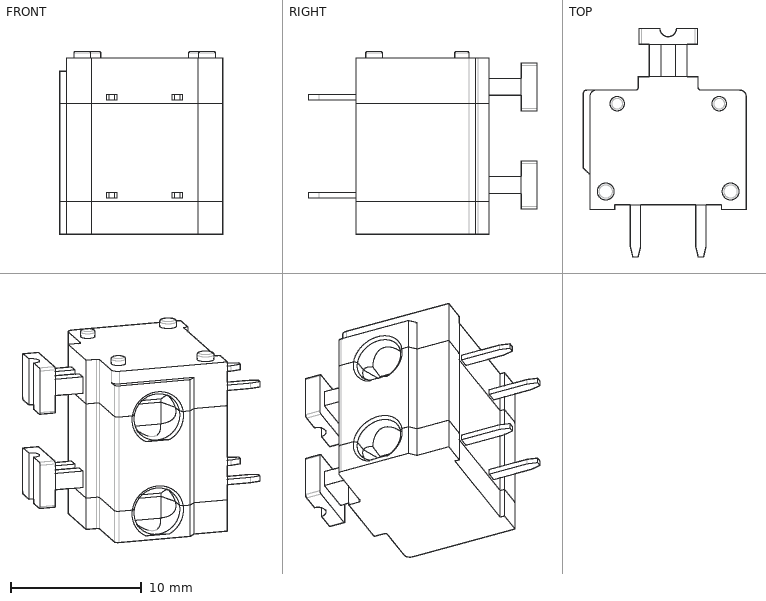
import cadquery as cq


TOTAL_LENGTH = 17.5

TOTAL_HEIGHT = 14.0
PEG_HEIGHT = 0.5
BASE_TOP = 2.5
POLE_PITCH = 7.5
HOUSING_TOP = TOTAL_HEIGHT - PEG_HEIGHT
COVER_BOTTOM = BASE_TOP + POLE_PITCH

HOUSING_WIDTH = 11.97
HOUSING_DEPTH = 9.15
SIDE_X = HOUSING_WIDTH / 2
FOOT_WIDTH = 1.9
FOOT_HEIGHT = 0.37
CORNER_RADIUS = 0.5
TOWER_WIDTH = 4.6
TOWER_TOP = 10.18
TOWER_ROOT_RADIUS = 0.2

PANEL_THICKNESS = 0.52
PANEL_TOP = 12.5
PANEL_START = 2.68
PANEL_SLOPE_END = 3.17
PANEL_CORNER_RADIUS = 0.28
PANEL_X = -SIDE_X - PANEL_THICKNESS

BORE_DIAMETER = 3.68
RIM_DIAMETER = 4.13
RIM_DEPTH = 0.21
BORE_Y = 5.75
BORE_FLOOR = 0.35
BORE_Z = BORE_FLOOR + BORE_DIAMETER / 2
FUNNEL_START_DEPTH = 1.2
FUNNEL_END_DEPTH = 2.95
FUNNEL_END_WIDTH = 2.38
FUNNEL_END_BOTTOM = 0.77
FUNNEL_END_TOP = 2.76

PIN_SPACING = 5.0
PIN_WIDTH = 0.8
PIN_TIP_WIDTH = 0.42
PIN_THICKNESS = 0.44
PIN_LENGTH = 3.64
PIN_TAPER = 0.8
PIN_RISE = 0.26

STEM_WIDTH = 2.9
STEM_HEIGHT = 1.31
STEM_RISE = 0.61
GROOVE_WIDTH = 1.12
GROOVE_DEPTH = 0.32
HEAD_WIDTH = 4.5
HEAD_HEIGHT = 3.7
HEAD_LENGTH = 1.22
HEAD_END = TOTAL_LENGTH - PIN_LENGTH
HEAD_START = HEAD_END - HEAD_LENGTH
HEAD_RADIUS = 0.2
NOTCH_DIAMETER = 1.25

FRONT_PEG = (1.3, 4.78, 1.38)
REAR_PEG = (1.1, 3.9, 8.1)
PEG_FILLET = 0.14


def centred_block(width, y_start, y_end, z_start, height):
    """Block centred on X = 0."""
    plane = cq.Workplane("XY", origin=(0, y_start, z_start))
    return plane.box(width, y_end - y_start, height, centered=(True, False, False))


def housing_layer(z_start, z_end):
    """Slice of the housing outline: rounded block, tower at the back, feet at the front."""
    height = z_end - z_start
    layer = centred_block(HOUSING_WIDTH, 0, HOUSING_DEPTH, z_start, height)
    layer = layer.edges("|Z and >Y").fillet(CORNER_RADIUS)
    layer = layer.union(centred_block(TOWER_WIDTH, HOUSING_DEPTH / 2, TOWER_TOP, z_start, height))
    for side in (-1, 1):
        root = (side * TOWER_WIDTH / 2, HOUSING_DEPTH, z_start + height / 2)
        layer = layer.edges(cq.selectors.NearestToPointSelector(root)).fillet(TOWER_ROOT_RADIUS)
    return layer.cut(centred_block(HOUSING_WIDTH - 2 * FOOT_WIDTH, 0, FOOT_HEIGHT, z_start, height))


def panel(z_start, z_end):
    """Slice of the raised panel, sloped at its front end and rounded at its back corner."""
    inner_x = -SIDE_X + CORNER_RADIUS
    return (
        cq.Workplane("XY", origin=(0, 0, z_start))
        .moveTo(inner_x, PANEL_START)
        .lineTo(-SIDE_X, PANEL_START)
        .lineTo(PANEL_X, PANEL_SLOPE_END)
        .lineTo(PANEL_X, HOUSING_DEPTH - PANEL_CORNER_RADIUS)
        .radiusArc((PANEL_X + PANEL_CORNER_RADIUS, HOUSING_DEPTH), PANEL_CORNER_RADIUS)
        .lineTo(inner_x, HOUSING_DEPTH)
        .close()
        .extrude(z_end - z_start)
    )


def wire_entry(lift):
    """Cutter for one wire entry: chamfered bore that narrows to a rectangle, with a flat floor."""
    bore_plane = cq.Workplane("YZ", origin=(PANEL_X, BORE_Y, BORE_Z))
    bore = bore_plane.circle(BORE_DIAMETER / 2).extrude(FUNNEL_END_DEPTH)

    mouth = bore_plane.rect(BORE_DIAMETER, BORE_DIAMETER).extrude(FUNNEL_START_DEPTH)
    end_height = FUNNEL_END_TOP - FUNNEL_END_BOTTOM
    end_centre = (FUNNEL_END_TOP + FUNNEL_END_BOTTOM) / 2 - BORE_Z
    funnel = (
        bore_plane.workplane(offset=FUNNEL_START_DEPTH)
        .rect(BORE_DIAMETER, BORE_DIAMETER)
        .workplane(offset=FUNNEL_END_DEPTH - FUNNEL_START_DEPTH)
        .center(0, end_centre)
        .rect(FUNNEL_END_WIDTH, end_height)
        .loft(ruled=True)
    )
    bore = bore.intersect(mouth.union(funnel))

    rim = (
        bore_plane.circle(RIM_DIAMETER / 2)
        .workplane(offset=RIM_DEPTH)
        .circle(BORE_DIAMETER / 2)
        .loft(ruled=True)
    )
    below_floor = (
        bore_plane.center(0, -BORE_DIAMETER / 2 - RIM_DIAMETER / 2)
        .rect(RIM_DIAMETER, RIM_DIAMETER)
        .extrude(RIM_DEPTH)
    )
    return bore.union(rim.cut(below_floor)).translate((0, 0, lift))


def solder_pin(x_centre, z_start):
    """Flat pin below the recess, tapered at its tip."""
    half_width = PIN_WIDTH / 2
    half_tip = PIN_TIP_WIDTH / 2
    taper_y = PIN_TAPER - PIN_LENGTH
    outline = [
        (-half_width, FOOT_HEIGHT),
        (-half_width, taper_y),
        (-half_tip, -PIN_LENGTH),
        (half_tip, -PIN_LENGTH),
        (half_width, taper_y),
        (half_width, FOOT_HEIGHT),
    ]
    return cq.Workplane("XY", origin=(x_centre, 0, z_start)).polyline(outline).close().extrude(PIN_THICKNESS)


def push_button(z_start):
    """Grooved stem with a rounded head that has a half-round notch in its end."""
    stem = centred_block(STEM_WIDTH, TOWER_TOP, HEAD_START, z_start, STEM_HEIGHT)
    groove_floor = z_start + STEM_HEIGHT - GROOVE_DEPTH
    stem = stem.cut(centred_block(GROOVE_WIDTH, TOWER_TOP, HEAD_START, groove_floor, GROOVE_DEPTH))

    head_bottom = z_start + (STEM_HEIGHT - HEAD_HEIGHT) / 2
    head = centred_block(HEAD_WIDTH, HEAD_START, HEAD_END, head_bottom, HEAD_HEIGHT)
    head = head.edges("|Y").fillet(HEAD_RADIUS)
    notch_plane = cq.Workplane("XY", origin=(0, HEAD_END, head_bottom))
    notch = notch_plane.circle(NOTCH_DIAMETER / 2).extrude(HEAD_HEIGHT)
    return stem.union(head.cut(notch))


def peg(diameter, x_centre, y_centre):
    """Locating peg on top of the cover, rounded at its upper edge."""
    peg_plane = cq.Workplane("XY", origin=(x_centre, y_centre, HOUSING_TOP))
    post = peg_plane.circle(diameter / 2).extrude(PEG_HEIGHT)
    return post.faces(">Z").edges().fillet(PEG_FILLET)


def add_pole(body, seam):
    """Add the two pins and the button that sit just above a seam."""
    for side in (-1, 1):
        body = body.union(solder_pin(side * PIN_SPACING / 2, seam + PIN_RISE))
    return body.union(push_button(seam + STEM_RISE))


def make_base():
    """Bottom plate of the housing."""
    return housing_layer(0, BASE_TOP).union(panel(0, BASE_TOP)).cut(wire_entry(0))


def make_middle():
    """Middle block of the housing with the lower pole."""
    body = housing_layer(BASE_TOP, COVER_BOTTOM).union(panel(BASE_TOP, COVER_BOTTOM))
    body = body.cut(wire_entry(0)).cut(wire_entry(POLE_PITCH))
    return add_pole(body, BASE_TOP)


def make_cover():
    """Top block of the housing with the upper pole and the pegs."""
    body = housing_layer(COVER_BOTTOM, HOUSING_TOP).union(panel(COVER_BOTTOM, PANEL_TOP))
    body = add_pole(body.cut(wire_entry(POLE_PITCH)), COVER_BOTTOM)
    for diameter, offset, y_centre in (FRONT_PEG, REAR_PEG):
        for side in (-1, 1):
            body = body.union(peg(diameter, side * offset, y_centre))
    return body


base = make_base()
middle = make_middle()
cover = make_cover()

result = cq.Compound.makeCompound([base.solids().val(), middle.solids().val(), cover.solids().val()])